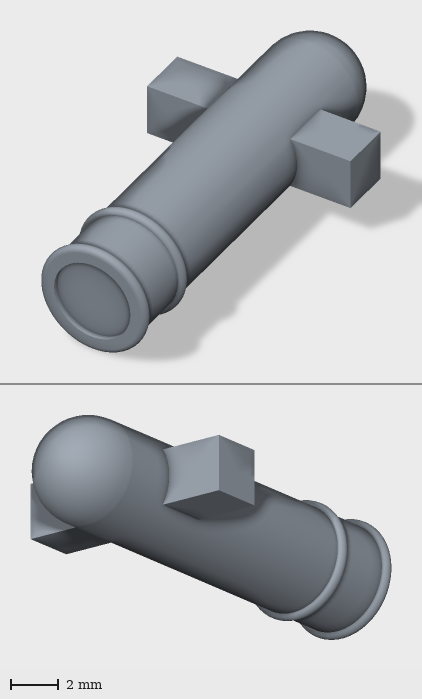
import cadquery as cq

length = 19.86
body_diameter = 4.75
body_radius = body_diameter / 2
ring_diameter = 5.25
ring_bead_radius = (ring_diameter - body_diameter) / 2
second_ring_center = 3.25
recess_diameter = 3.75
recess_depth = 0.25
arm_span = 10.0
arm_width = 2.42
arm_height = 2.46
arm_center = 13.78


def domed_body():
    """Cylinder closed by a hemispherical dome at the +Y end."""
    dome_start = length - body_radius
    dome_offset = body_radius * 0.5 ** 0.5
    return (
        cq.Workplane("XY")
        .lineTo(body_radius, 0)
        .lineTo(body_radius, dome_start)
        .threePointArc((dome_offset, dome_start + dome_offset), (0, length))
        .close()
        .revolve(360, (0, 0), (0, 1))
    )


def ring(center):
    """Half-round bead encircling the body, backed by a disc inside the body."""
    lower = center - ring_bead_radius
    upper = center + ring_bead_radius
    return (
        cq.Workplane("XY")
        .moveTo(0, lower)
        .lineTo(body_radius, lower)
        .threePointArc((ring_diameter / 2, center), (body_radius, upper))
        .lineTo(0, upper)
        .close()
        .revolve(360, (0, 0), (0, 1))
    )


def cross_arms():
    """Rectangular bar passing through the body along X."""
    return cq.Workplane("XY").box(arm_span, arm_width, arm_height).translate((0, arm_center, 0))


def end_recess():
    """Shallow round recess in the -Y end face."""
    return cq.Workplane("XZ").circle(recess_diameter / 2).extrude(-recess_depth)


result = domed_body().union(cross_arms())
for ring_center in (ring_bead_radius, second_ring_center):
    result = result.union(ring(ring_center))
result = result.cut(end_recess())